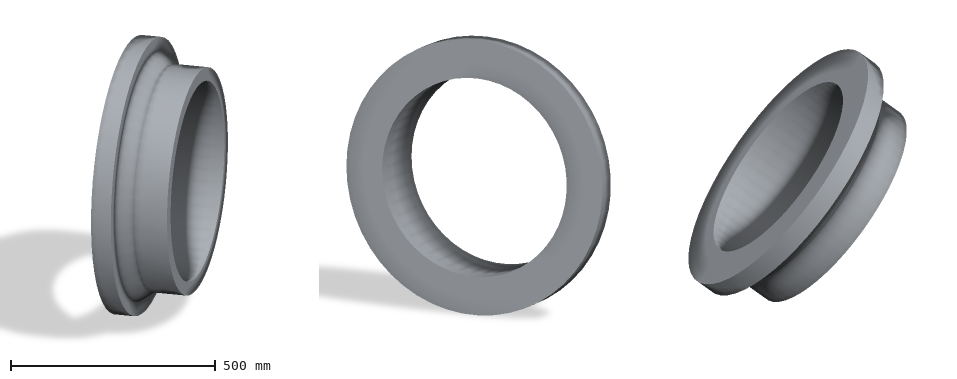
import cadquery as cq

total_length = 175.0
collar_diameter = 685.0
collar_thickness = 50.0
hub_root_diameter = 615.0
hub_length = 39.0
neck_diameter = 560.0
bore_diameter = 493.6

collar_radius = collar_diameter / 2
hub_root_radius = hub_root_diameter / 2
neck_radius = neck_diameter / 2
bore_radius = bore_diameter / 2
hub_end = collar_thickness + hub_length

half_section = [
    (0, bore_radius),
    (0, collar_radius),
    (collar_thickness, collar_radius),
    (collar_thickness, hub_root_radius),
    (hub_end, neck_radius),
    (total_length, neck_radius),
    (total_length, bore_radius),
]

result = (
    cq.Workplane("XY")
    .polyline(half_section)
    .close()
    .revolve(360, (0, 0, 0), (1, 0, 0))
)